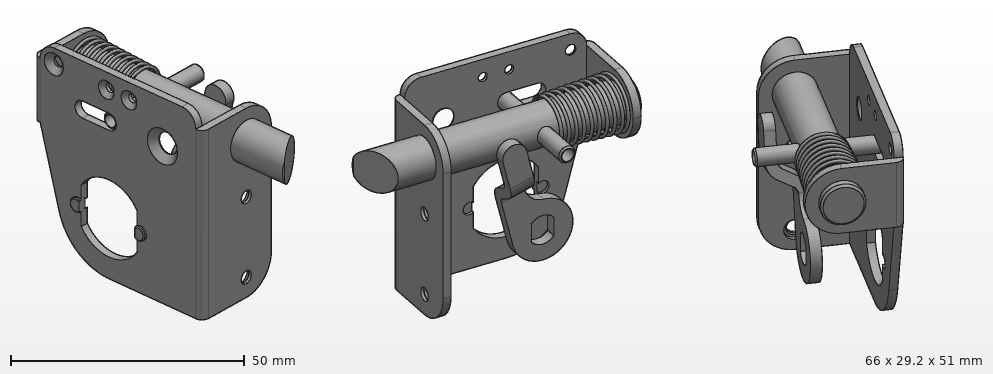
import cadquery as cq
import math


sheet = 2.0
bracket_left = 2.05
bracket_width = 49.0
bracket_height = 51.0
corner_radius = 4.0
bend_radius = 1.9
flange_depth = 21.9
flange_radius = 8.0
left_flange_height = 16.05
flange_top = bracket_height - corner_radius
left_flange_bottom = flange_top - left_flange_height
bracket_right = bracket_left + bracket_width
plate_left = bracket_left + sheet
plate_right = bracket_right - sheet

bolt_length = 66.0
bolt_diameter = 10.0
bolt_chamfer = 0.5
bolt_y = flange_depth - flange_radius
bolt_z = flange_top - left_flange_height / 2
bolt_slant_start = 60.4
bolt_tip_flat = 0.6
pin_x = 23.95
pin_diameter = 4.1
pin_bore = 3.0
pin_start_y = 0.4
pin_end_y = 28.45
pin_chamfer = 0.4
slot_height = 4.2
slot_travel = 7.7

plate_holes = [
    (8.0, flange_top, 2.6, 5.5),
    (23.15, 46.6, 2.2, 4.5),
    (29.7, 46.6, 2.2, 4.5),
    (39.4, bolt_z, 5.2, 8.7),
]
countersink_angle = 90

pivot_x = pin_x
pivot_z = 15.0
opening_diameter = 19.15
opening_width = 16.1
stop_diameter = 3.5
stop_height = 0.7
stop_chamfer = 0.25
stop_recess_diameter = 3.1
stop_recess_depth = stop_height
stop_offset = 9.05

screw_heights = (5.0, 24.95)
screw_bore = 3.2
screw_chamfer = 0.25
screw_counterbore = 4.95
screw_counterbore_depth = 1.0

wire_diameter = 0.8
spring_pitch = 1.85
spring_end_pitch = 0.85
spring_body_start_x = 4.8
spring_body_turns = 8.5
spring_start_turns = 0.75
spring_finish_turns = 0.7
spring_radius = 6.55
spring_taper = 0.045
spring_finish_x = 21.2
points_per_turn = 16

lever_tilt = 14.0
lever_thickness = 2.65
lever_front_y = 15.0
lever_offset = 6.9
hub_radius = 7.5
arm_width = 6.0
arm_length = 26.65
hub_fillet = 5.0
crank_angle = math.radians(60)
crank_inner_radius = 2.0
crank_top = 19.55
drive_hole_diameter = 7.1
drive_hole_width = 5.55


def along_y(x, y, z):
    """Workplane at a point, drawing in X and Z and extruding along +Y."""
    return cq.Workplane(cq.Plane(origin=(x, y, z), xDir=(1, 0, 0), normal=(0, -1, 0)))


def along_x(x):
    """Workplane drawing in Y and Z and extruding along +X."""
    return cq.Workplane("YZ", origin=(x, 0, 0))


def flatted_disc(x, y, z, diameter, width, depth):
    """Disc along +Y with two flat sides that face +X and -X."""
    disc = along_y(x, y, z).circle(diameter / 2).extrude(-depth)
    return disc.intersect(along_y(x, y, z).rect(width, diameter).extrude(-depth))


def make_plate():
    """Plate whose lower left corner is a large round about the pivot, met by a slanted edge."""
    big_radius = pivot_z
    dx = plate_left - pivot_x
    dz = left_flange_bottom - pivot_z
    tangent_angle = math.atan2(dz, dx) + math.acos(big_radius / math.hypot(dx, dz))
    middle_angle = (tangent_angle + 1.5 * math.pi) / 2

    def on_big_round(angle):
        return pivot_x + big_radius * math.cos(angle), pivot_z + big_radius * math.sin(angle)

    return (
        along_y(0, 0, 0)
        .moveTo(pivot_x, 0)
        .lineTo(plate_right, 0)
        .lineTo(plate_right, flange_top)
        .radiusArc((plate_right - corner_radius, bracket_height), -corner_radius)
        .lineTo(plate_left + corner_radius, bracket_height)
        .radiusArc((plate_left, flange_top), -corner_radius)
        .lineTo(plate_left, left_flange_bottom)
        .lineTo(*on_big_round(tangent_angle))
        .threePointArc(on_big_round(middle_angle), (pivot_x, 0))
        .close()
        .extrude(-sheet)
    )


def make_flange(x, bottom, outer_side):
    """Flange from a bottom height to the flange top, with a bend on its outer front edge."""
    height = flange_top - bottom
    flange = (
        cq.Workplane("XY")
        .box(sheet, flange_depth, height, centered=False)
        .translate((x, 0, bottom))
    )
    flange = flange.edges("|X and >Y").fillet(flange_radius)
    return flange.edges("|Z and <Y").edges(outer_side).fillet(bend_radius)


def make_cone(position, direction, start_diameter, end_diameter, depth):
    cone = cq.Solid.makeCone(
        start_diameter / 2, end_diameter / 2, depth, cq.Vector(*position), cq.Vector(*direction)
    )
    return cq.Workplane(cone)


def make_countersunk_hole(x, z, bore, countersink):
    depth = (countersink - bore) / 2 / math.tan(math.radians(countersink_angle / 2))
    hole = along_y(x, 0, z).circle(bore / 2).extrude(-sheet)
    return hole.union(make_cone((x, 0, z), (0, 1, 0), countersink, bore, depth))


def make_screw_hole(z):
    """Hole through the right flange, counterbored from the inside with a chamfered bore."""
    floor_x = plate_right + screw_counterbore_depth
    bore = along_x(plate_right).center(bolt_y, z).circle(screw_bore / 2).extrude(sheet)
    counterbore = (
        along_x(plate_right)
        .center(bolt_y, z)
        .circle(screw_counterbore / 2)
        .extrude(screw_counterbore_depth)
    )
    chamfer = make_cone(
        (floor_x, bolt_y, z), (1, 0, 0), screw_bore + 2 * screw_chamfer, screw_bore, screw_chamfer
    )
    return bore.union(counterbore).union(chamfer)


def make_stop(side):
    """Round stop on the outer face, left (-1) or right (+1) of the opening."""
    return (
        along_y(pivot_x + side * stop_offset, sheet, pivot_z)
        .circle(stop_diameter / 2)
        .extrude(sheet + stop_height)
        .faces("<Y")
        .chamfer(stop_chamfer)
    )


def make_stop_recess(side):
    """Recess in the inner face behind a stop, left by pressing the stop out of the plate."""
    return (
        along_y(pivot_x + side * stop_offset, sheet, pivot_z)
        .circle(stop_recess_diameter / 2)
        .extrude(stop_recess_depth)
    )


def make_bracket():
    bracket = make_plate()
    bracket = bracket.union(make_flange(bracket_left, left_flange_bottom, "<X"))
    bracket = bracket.union(make_flange(plate_right, 0, ">X"))

    for hole in plate_holes:
        bracket = bracket.cut(make_countersunk_hole(*hole))
    for z in screw_heights:
        bracket = bracket.cut(make_screw_hole(z))

    slot = (
        along_y(pin_x - slot_travel / 2, 0, bolt_z)
        .slot2D(slot_travel + slot_height, slot_height)
        .extrude(-sheet)
    )
    bracket = bracket.cut(slot)

    for side in (-1, 1):
        bracket = bracket.union(make_stop(side)).cut(make_stop_recess(side))
    opening = flatted_disc(
        pivot_x, -stop_height, pivot_z, opening_diameter, opening_width, sheet + stop_height
    )
    return bracket.cut(opening)


def make_bolt():
    radius = bolt_diameter / 2
    bolt = (
        along_x(0)
        .center(bolt_y, bolt_z)
        .circle(radius)
        .extrude(bolt_length)
        .faces("<X")
        .chamfer(bolt_chamfer)
    )
    back = bolt_y + radius
    slant = (
        cq.Workplane("XY")
        .moveTo(bolt_slant_start, back)
        .lineTo(bolt_length, back)
        .lineTo(bolt_length, bolt_y - radius + bolt_tip_flat)
        .close()
        .extrude(bolt_z + radius)
    )
    return bolt.cut(slant)


def make_pin():
    return (
        along_y(pin_x, pin_start_y, bolt_z)
        .circle(pin_diameter / 2)
        .extrude(pin_start_y - pin_end_y)
        .faces("<Y or >Y")
        .chamfer(pin_chamfer)
    )


def make_pin_bore():
    return along_y(pin_x, 0, bolt_z).circle(pin_bore / 2).extrude(-pin_end_y)


def spring_point(turn):
    """Centre of the wire; turn 0 is the start of the evenly coiled body, on the -Y side."""
    body_turn = min(max(turn, 0), spring_body_turns)
    along = spring_pitch * body_turn + spring_end_pitch * (turn - body_turn)
    radius = spring_radius - spring_taper * along
    angle = 2 * math.pi * turn
    y = bolt_y - radius * math.cos(angle)
    z = bolt_z - radius * math.sin(angle)
    return cq.Vector(spring_body_start_x + along, y, z)


def make_spring():
    first = -spring_start_turns
    total = spring_start_turns + spring_body_turns + spring_finish_turns
    steps = round(total * points_per_turn)
    path = cq.Edge.makeSpline([spring_point(first + total * i / steps) for i in range(steps + 1)])
    profile = cq.Plane(origin=path.startPoint(), normal=path.tangentAt(0))
    wire = cq.Workplane(profile).circle(wire_diameter / 2).sweep(
        cq.Workplane(cq.Wire.assembleEdges([path])), isFrenet=True
    )
    ground_face = along_x(spring_finish_x).center(bolt_y, bolt_z)
    return wire.cut(ground_face.circle(spring_radius + wire_diameter).extrude(spring_pitch))


def make_latch():
    """Bracket, bolt, cross pin and spring, joined into one body."""
    latch = make_bracket().union(make_bolt()).union(make_pin()).cut(make_pin_bore())
    return latch.union(make_spring())


def make_lever_outline():
    """Outline in the lever's own frame: the pivot at the origin, the arm along +Z."""
    tip_radius = arm_width / 2
    right_flank = hub_radius
    left_flank = right_flank - arm_width
    fillet_reach = hub_radius + hub_fillet
    fillet_x = left_flank - hub_fillet
    fillet_z = math.sqrt(fillet_reach**2 - fillet_x**2)
    hub_end = (fillet_x * hub_radius / fillet_reach, fillet_z * hub_radius / fillet_reach)
    return (
        along_y(0, 0, 0)
        .moveTo(left_flank, fillet_z)
        .lineTo(left_flank, arm_length)
        .threePointArc((left_flank + tip_radius, arm_length + tip_radius), (right_flank, arm_length))
        .lineTo(right_flank, 0)
        .threePointArc((0, -hub_radius), hub_end)
        .radiusArc((left_flank, fillet_z), -hub_fillet)
        .close()
    )


def make_lever_strip():
    """Cranked strip in the lever's own frame, wider than the lever."""
    outer = crank_inner_radius + lever_thickness
    middle = crank_inner_radius + lever_thickness / 2
    half_crank_tangent = math.tan(crank_angle / 2)
    miter = lever_thickness / 2 * half_crank_tangent
    upper = crank_top - middle * half_crank_tangent
    lower = upper - lever_offset / math.tan(crank_angle)
    low_front = lever_front_y
    low_back = low_front + lever_thickness
    high_front = low_front + lever_offset
    high_back = high_front + lever_thickness
    bottom = -hub_radius
    top = arm_length + arm_width
    corners = [
        (low_front, bottom),
        (low_front, lower + miter),
        (high_front, upper + miter),
        (high_front, top),
        (high_back, top),
        (high_back, upper - miter),
        (low_back, lower - miter),
        (low_back, bottom),
    ]
    strip = along_x(-hub_radius).polyline(corners).close().extrude(2 * hub_radius)

    def bend_edge(y, z):
        return cq.selectors.NearestToPointSelector((0, y, z))

    strip = strip.edges(bend_edge(*corners[1])).fillet(outer)
    strip = strip.edges(bend_edge(*corners[5])).fillet(outer)
    strip = strip.edges(bend_edge(*corners[2])).fillet(crank_inner_radius)
    return strip.edges(bend_edge(*corners[6])).fillet(crank_inner_radius)


def make_lever():
    blank = make_lever_outline().extrude(-2 * flange_depth)
    lever = (
        blank.intersect(make_lever_strip())
        .rotate((0, 0, 0), (0, 1, 0), lever_tilt)
        .translate((pivot_x, 0, pivot_z))
    )
    drive_hole = flatted_disc(
        pivot_x, lever_front_y, pivot_z, drive_hole_diameter, drive_hole_width, lever_thickness
    )
    return lever.cut(drive_hole)


latch = make_latch()
lever = make_lever()
result = cq.Compound.makeCompound([latch.solids().val(), lever.solids().val()])